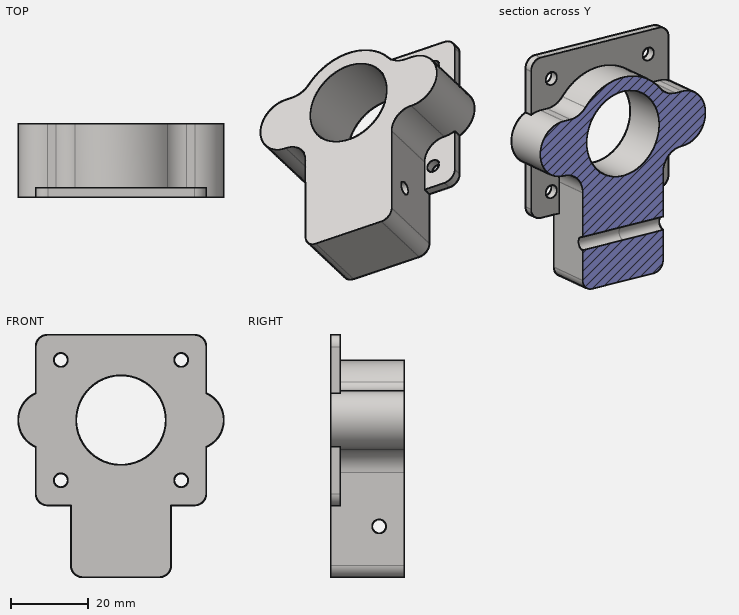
import cadquery as cq
import math


depth = 19.0
overall_width = 53.0
overall_height = 62.5
bore_diameter = 23.0
hub_radius = 15.5
lobe_radius = 7.55
upper_blend_radius = 6.25
lower_blend_radius = 5.8

plate_side = 44.0
plate_thickness = 2.5
mount_hole_diameter = 3.5
mount_hole_spacing = 31.0
corner_radius = 6.2 / 2

foot_width = 25.9
foot_bottom = plate_side / 2 - overall_height
cross_hole_diameter = 3.5
cross_hole_y = 12.5
cross_hole_z = -27.4


def polar_point(center, radius, angle):
    """Point on a circle at an angle in radians."""
    return (center[0] + radius * math.cos(angle), center[1] + radius * math.sin(angle))


def make_body():
    """Hub, side lobes and foot, extruded as one symmetric outline."""
    lobe_x = overall_width / 2 - lobe_radius
    foot_x = foot_width / 2

    upper_z = lobe_radius + upper_blend_radius
    upper_x = math.sqrt((hub_radius + upper_blend_radius) ** 2 - upper_z**2)
    upper_center = (upper_x, upper_z)
    hub_angle = math.atan2(upper_z, upper_x)
    hub_end = polar_point((0, 0), hub_radius, hub_angle)
    hub_middle = polar_point((0, 0), hub_radius, (hub_angle + math.pi / 2) / 2)
    blend_angle = hub_angle + math.pi
    upper_middle = polar_point(upper_center, upper_blend_radius, (blend_angle + 1.5 * math.pi) / 2)

    lower_x = foot_x + lower_blend_radius
    lower_z = -math.sqrt((lobe_radius + lower_blend_radius) ** 2 - (lower_x - lobe_x) ** 2)
    contact_angle = math.atan2(-lower_z, lobe_x - lower_x)
    lobe_end = polar_point((lower_x, lower_z), lower_blend_radius, contact_angle)
    lower_middle = polar_point((lower_x, lower_z), lower_blend_radius, (contact_angle + math.pi) / 2)

    outline = (
        cq.Workplane("XZ")
        .moveTo(0, hub_radius)
        .threePointArc(hub_middle, hub_end)
        .threePointArc(upper_middle, (upper_x, lobe_radius))
        .lineTo(lobe_x, lobe_radius)
        .threePointArc((overall_width / 2, 0), lobe_end)
        .threePointArc(lower_middle, (foot_x, lower_z))
        .lineTo(foot_x, foot_bottom + corner_radius)
        .radiusArc((foot_x - corner_radius, foot_bottom), corner_radius)
        .lineTo(0, foot_bottom)
        .mirrorY()
    )
    return outline.extrude(-depth)


def make_plate():
    """Square flange with rounded corners, flush with the front face."""
    plate = cq.Workplane("XZ").rect(plate_side, plate_side).extrude(-plate_thickness)
    return plate.edges("|Y").fillet(corner_radius)


def make_holes():
    """Bore, four mounting holes and the cross hole through the foot."""
    bore = cq.Workplane("XZ").circle(bore_diameter / 2).extrude(-depth)
    mount_holes = (
        cq.Workplane("XZ")
        .rect(mount_hole_spacing, mount_hole_spacing, forConstruction=True)
        .vertices()
        .circle(mount_hole_diameter / 2)
        .extrude(-plate_thickness)
    )
    cross_hole = (
        cq.Workplane("YZ")
        .center(cross_hole_y, cross_hole_z)
        .circle(cross_hole_diameter / 2)
        .extrude(foot_width / 2, both=True)
    )
    return bore.union(mount_holes).union(cross_hole)


result = make_body().union(make_plate()).cut(make_holes())